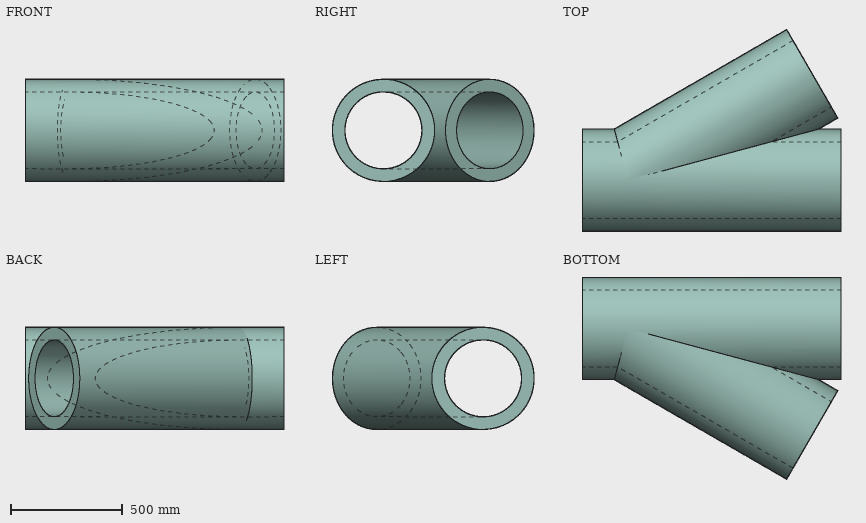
import cadquery as cq

run_length = 1156.0
outer_diameter = 458.0
bore_diameter = 343.0
branch_angle = 30.0
junction_x = 203.0
branch_length = 951.0

miter_angle = branch_angle / 2
branch_overlap = outer_diameter
miter_size = branch_length + outer_diameter


def turn_at_junction(shape, angle):
    """Turn a shape about the Z axis and move it to the axis crossing."""
    return shape.rotate((0, 0, 0), (0, 0, 1), angle).translate((junction_x, 0, 0))


def branch_side():
    """Space between the two mitre planes, on the side of the branch."""
    quadrant = cq.Workplane("XY").box(
        miter_size, miter_size, 2 * outer_diameter, centered=(False, False, True)
    )
    return turn_at_junction(quadrant, miter_angle)


def y_shape(diameter):
    """Solid run and branch of equal diameter, joined along the mitre planes."""
    run = cq.Workplane("YZ").circle(diameter / 2).extrude(run_length)
    branch = (
        cq.Workplane("YZ")
        .workplane(offset=-branch_overlap)
        .circle(diameter / 2)
        .extrude(branch_overlap + branch_length)
    )
    branch = turn_at_junction(branch, branch_angle)
    return run.cut(branch_side()).union(branch.intersect(branch_side()))


result = y_shape(outer_diameter).cut(y_shape(bore_diameter))